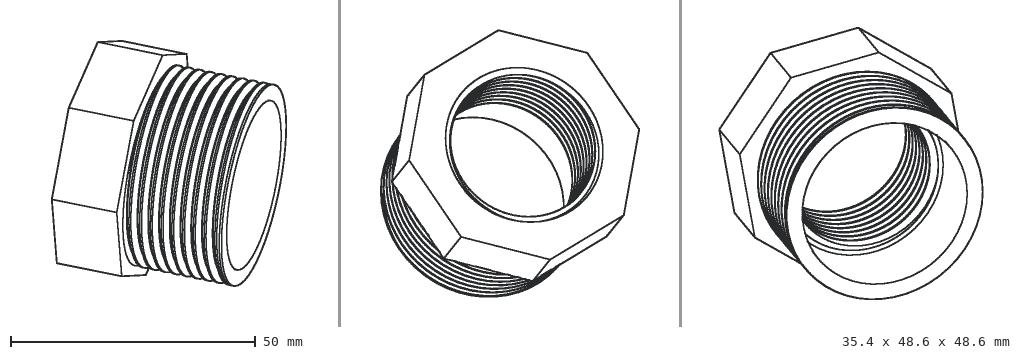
import cadquery as cq
import math

outer_height = 48.6
head_sides = 8
head_across_flats = 46.0
head_length = 14.0
total_length = 35.4

pitch = 25.4 / 11
root_gap = 0.15
flank_angle = math.radians(30)

spigot_root_diameter = 38.9
spigot_crest_diameter = 41.95
rim_length = 0.5
rim_start = total_length - rim_length

female_root_diameter = 33.25
female_crest_diameter = 30.25
female_thread_length = 19.1
plain_bore_diameter = 35.25


def cylinder(diameter, start, end):
    """Cylinder about the X axis from X = start to X = end."""
    return cq.Workplane("YZ", origin=(start, 0, 0)).circle(diameter / 2).extrude(end - start)


def make_housing():
    """Octagonal head, spigot core and end rim, bored through for the female thread."""
    corner_radius = head_across_flats / 2 / math.cos(math.pi / head_sides)
    corner_tilt = math.degrees(math.acos(outer_height / 2 / corner_radius))
    head = (
        cq.Workplane("YZ")
        .polygon(head_sides, 2 * corner_radius)
        .extrude(head_length)
        .rotate((0, 0, 0), (1, 0, 0), -corner_tilt)
    )
    core = cylinder(spigot_root_diameter, head_length, total_length)
    rim = cylinder(spigot_crest_diameter, rim_start, total_length)
    threaded_bore = cylinder(female_root_diameter, 0, female_thread_length)
    plain_bore = cylinder(plain_bore_diameter, female_thread_length, total_length)
    return head.union(core).union(rim).cut(threaded_bore).cut(plain_bore)


def make_thread(root_diameter, crest_diameter, start, end, crest_at_bottom):
    """Right-hand trapezoidal thread ridge about X, trimmed flat at X = start and X = end.

    crest_at_bottom is an X at which the middle of the crest passes the lowest (-Z) line.
    """
    root_radius = root_diameter / 2
    crest_radius = crest_diameter / 2
    root_width = pitch - root_gap
    crest_width = root_width - 2 * abs(crest_radius - root_radius) * math.tan(flank_angle)
    overrun = 2 * pitch
    first_turn = crest_at_bottom - overrun
    length = pitch * math.ceil((end + overrun - first_turn) / pitch)
    section = [
        (root_radius, -root_width / 2),
        (crest_radius, -crest_width / 2),
        (crest_radius, crest_width / 2),
        (root_radius, root_width / 2),
    ]
    helices = [
        cq.Wire.makeHelix(pitch, length, radius, center=cq.Vector(0, 0, first_turn + place))
        for radius, place in section
    ]
    sides = [
        cq.Face.makeRuledSurface(helices[i - 1], helices[i]) for i in range(len(helices))
    ]
    caps = [
        cq.Face.makeFromWires(cq.Wire.makePolygon([wire_end(h) for h in helices], close=True))
        for wire_end in (cq.Wire.startPoint, cq.Wire.endPoint)
    ]
    ridge = cq.Solid.makeSolid(cq.Shell.makeShell(sides + caps))
    ridge = ridge.rotate(cq.Vector(0, 0, 0), cq.Vector(0, 1, 0), 90)
    slab_size = 2 * outer_height
    slab = cq.Workplane("YZ", origin=(start, 0, 0)).rect(slab_size, slab_size).extrude(end - start)
    return cq.Workplane(ridge).intersect(slab)


housing = make_housing()
male_thread = make_thread(
    spigot_root_diameter, spigot_crest_diameter, head_length, rim_start, head_length
)
female_thread = make_thread(
    female_root_diameter, female_crest_diameter, 0, female_thread_length, pitch / 2
)

result = cq.Compound.makeCompound(
    [*housing.solids().vals(), *male_thread.solids().vals(), *female_thread.solids().vals()]
)